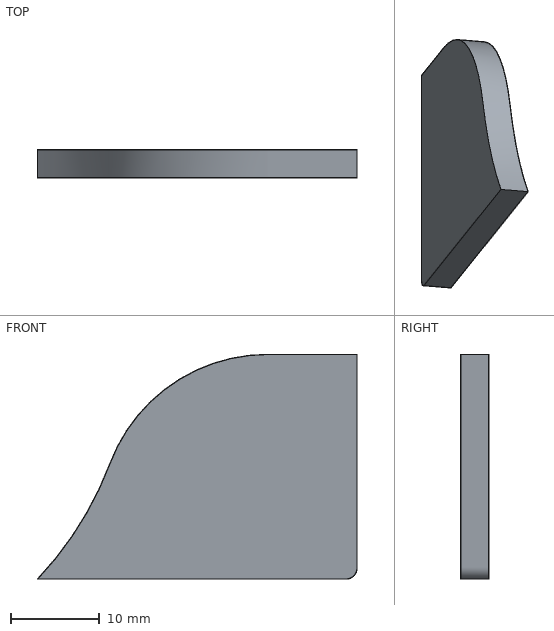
import cadquery as cq
import math

length = 36.12
height = 25.4
thickness = 3.175
top_flat = 10.1
crown_radius = 19.05
crown_drop = 12.325
corner_radius = 1.27

crown_start = (length - top_flat, height)
crown_centre = (crown_start[0], height - crown_radius)
crown_angle = math.acos(1 - crown_drop / crown_radius)


def on_crown(angle):
    """Point on the convex arc, at an angle from its topmost point."""
    return (
        crown_centre[0] - crown_radius * math.sin(angle),
        crown_centre[1] + crown_radius * math.cos(angle),
    )


crown_end = on_crown(crown_angle)


def make_plate():
    """Flat plate: convex arc running smoothly into a concave arc down to the tip."""
    profile = (
        cq.Workplane("XZ")
        .moveTo(0, 0)
        .lineTo(length, 0)
        .lineTo(length, height)
        .lineTo(*crown_start)
        .threePointArc(on_crown(crown_angle / 2), crown_end)
        .tangentArcPoint((0, 0), relative=False)
        .close()
    )
    return profile.extrude(-thickness)


def round_bottom_corner(plate):
    """Round the corner between the bottom and the straight upright edge."""
    return plate.edges("|Y and >X and <Z").fillet(corner_radius)


result = round_bottom_corner(make_plate())